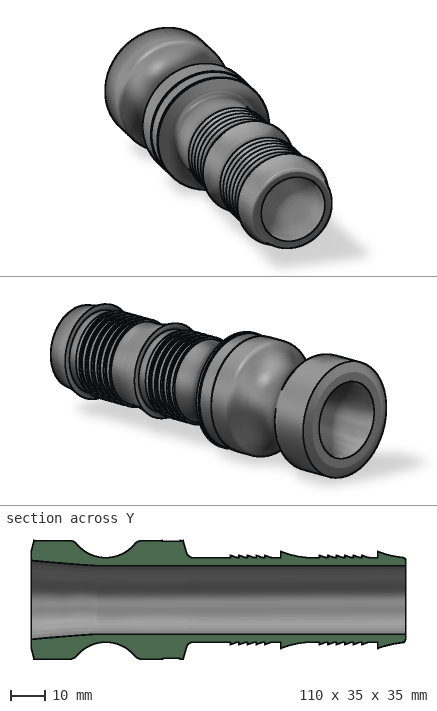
import cadquery as cq
import math

length = 110.0
flange_radius = 35.0 / 2
band_radius = 34.5 / 2
stem_radius = 25.0 / 2

bore_radius = 20.0 / 2
mouth_radius = 11.5
bore_taper_end = 19.1

nose_radius = 14.4
nose_length = 0.8

neck_center_x = 21.9
neck_arc_radius = 11.0
rim_round = 2.8

band_start = 38.5
band_end = 43.8
band_flank = 0.3
shoulder_start = 44.7
shoulder_angle = math.radians(16)
shoulder_fillet = 2.0

tooth_radius = 13.2
tooth_length = 2.0
tooth_gap = 0.52
tooth_pitch = tooth_length + tooth_gap
tooth_groups = [(58.5, 5), (84.6, 6)]

barb_radius = 14.3
barb_length = 8.0
barb_sag = 0.3
barb_starts = [73.3, 101.8]
tip_round = 1.0


def revolve_about_x(profile):
    """Turn a closed half profile around the X axis."""
    return profile.close().revolve(360, (0, 0, 0), (1, 0, 0))


def arc_point(center_x, center_r, radius, angle):
    """Point of a circle, with the angle measured from +X towards larger radii."""
    return (center_x + radius * math.cos(angle), center_r + radius * math.sin(angle))


def turned_body():
    """Front flange, neck, rear flange and plain stem in one profile."""
    neck_center_r = stem_radius + neck_arc_radius
    rim_center_r = flange_radius - rim_round
    center_distance = neck_arc_radius + rim_round
    rim_offset = math.sqrt(center_distance**2 - (neck_center_r - rim_center_r) ** 2)
    front_rim_x = neck_center_x - rim_offset
    rear_rim_x = neck_center_x + rim_offset
    blend_angle = math.atan2(neck_center_r - rim_center_r, rim_offset)
    front_mid_angle = (math.pi / 2 + blend_angle) / 2
    rear_mid_angle = math.pi - front_mid_angle

    fillet_center_r = stem_radius + shoulder_fillet
    fillet_start_r = fillet_center_r - shoulder_fillet * math.sin(shoulder_angle)
    fillet_start_x = shoulder_start + (flange_radius - fillet_start_r) * math.tan(shoulder_angle)
    fillet_center_x = fillet_start_x + shoulder_fillet * math.cos(shoulder_angle)
    fillet_mid_angle = (math.pi + shoulder_angle + 3 * math.pi / 2) / 2

    return revolve_about_x(
        cq.Workplane("XY")
        .moveTo(0, 0)
        .lineTo(0, nose_radius)
        .lineTo(nose_length, flange_radius)
        .lineTo(front_rim_x, flange_radius)
        .threePointArc(
            arc_point(front_rim_x, rim_center_r, rim_round, front_mid_angle),
            arc_point(front_rim_x, rim_center_r, rim_round, blend_angle),
        )
        .threePointArc(
            (neck_center_x, stem_radius),
            arc_point(rear_rim_x, rim_center_r, rim_round, math.pi - blend_angle),
        )
        .threePointArc(
            arc_point(rear_rim_x, rim_center_r, rim_round, rear_mid_angle),
            (rear_rim_x, flange_radius),
        )
        .lineTo(band_start, flange_radius)
        .lineTo(band_start + band_flank, band_radius)
        .lineTo(band_end - band_flank, band_radius)
        .lineTo(band_end, flange_radius)
        .lineTo(shoulder_start, flange_radius)
        .lineTo(fillet_start_x, fillet_start_r)
        .threePointArc(
            arc_point(fillet_center_x, fillet_center_r, shoulder_fillet, fillet_mid_angle),
            (fillet_center_x, stem_radius),
        )
        .lineTo(length, stem_radius)
        .lineTo(length, 0)
    )


def grip_tooth(start):
    """Small saw tooth: steep face on the left, cone falling to the stem."""
    return revolve_about_x(
        cq.Workplane("XY")
        .moveTo(start, 0)
        .lineTo(start, tooth_radius)
        .lineTo(start + tooth_length, stem_radius)
        .lineTo(start + tooth_length, 0)
    )


def hose_barb(start):
    """Large barb whose flank is a shallow hollow arc down to the stem."""
    middle = (start + barb_length / 2, (barb_radius + stem_radius) / 2 - barb_sag)
    return revolve_about_x(
        cq.Workplane("XY")
        .moveTo(start, 0)
        .lineTo(start, barb_radius)
        .threePointArc(middle, (start + barb_length, stem_radius))
        .lineTo(start + barb_length, 0)
    )


def bore():
    """Tapered mouth followed by the straight hole through the stem."""
    return revolve_about_x(
        cq.Workplane("XY")
        .moveTo(0, 0)
        .lineTo(0, mouth_radius)
        .lineTo(bore_taper_end, bore_radius)
        .lineTo(length, bore_radius)
        .lineTo(length, 0)
    )


body = turned_body()
for group_start, tooth_count in tooth_groups:
    for index in range(tooth_count):
        body = body.union(grip_tooth(group_start + index * tooth_pitch))
for barb_start in barb_starts:
    body = body.union(hose_barb(barb_start))

body = body.faces(">X").edges().fillet(tip_round)
result = body.cut(bore())